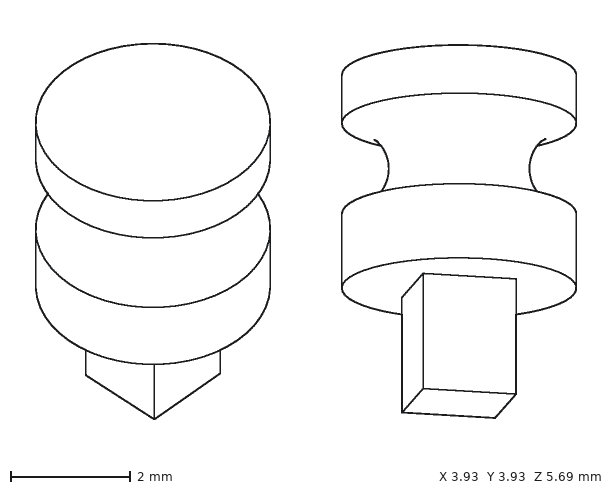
import cadquery as cq

total_height = 5.69
head_diameter = 3.93
shank_width = 1.6
shank_height = 2.0
lower_rim_height = 1.285
groove_radius = 0.785

head_radius = head_diameter / 2
groove_bottom = shank_height + lower_rim_height
groove_middle = groove_bottom + groove_radius
groove_top = groove_bottom + 2 * groove_radius


def make_head():
    """Round head with a semicircular groove, revolved about Z."""
    profile = (
        cq.Workplane("XZ")
        .moveTo(0, shank_height)
        .lineTo(head_radius, shank_height)
        .lineTo(head_radius, groove_bottom)
        .threePointArc((head_radius - groove_radius, groove_middle), (head_radius, groove_top))
        .lineTo(head_radius, total_height)
        .lineTo(0, total_height)
        .close()
    )
    return profile.revolve(360, (0, 0, 0), (0, 1, 0))


def make_shank():
    """Square shank below the head."""
    return cq.Workplane("XY").rect(shank_width, shank_width).extrude(shank_height)


result = make_head().union(make_shank())